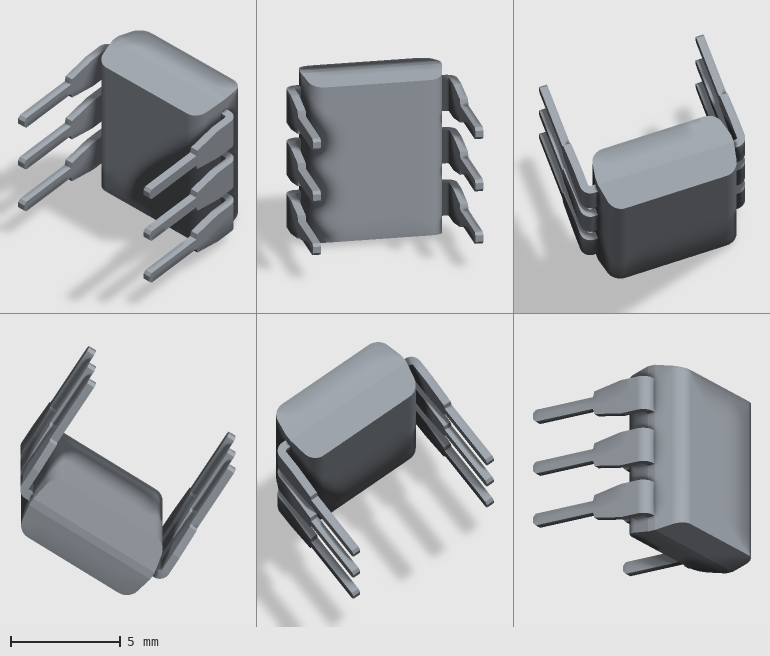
import cadquery as cq
import math

BODY_WIDTH = 6.6
BODY_DEPTH = 3.18
BODY_HEIGHT = 8.08
DRAFT_ANGLE = 11.0
BODY_EDGE_RADIUS = 0.7

LEAD_THICKNESS = 0.38
LEAD_SPAN = 8.0
LEAD_PITCH = 2.54
LEADS_PER_SIDE = 3
INNER_BEND_RADIUS = 0.11

TOTAL_DEPTH = 7.59
WIDE_WIDTH = 1.625
SHOULDER_WIDTH = 1.11
PIN_WIDTH = 0.57
PIN_LENGTH = 3.265
SHOULDER_SLOPE = 0.07
TAPER_LENGTH = 1.45
TIP_CHAMFER = 0.14

BAND_BACK = LEAD_THICKNESS / 2
BODY_BACK = BODY_DEPTH / 2
TIP_Y = BODY_BACK - TOTAL_DEPTH
PIN_START_Y = TIP_Y + PIN_LENGTH
SHOULDER_Y = PIN_START_Y + SHOULDER_SLOPE
TAPER_START_Y = SHOULDER_Y + TAPER_LENGTH
LEAD_OUTER_X = LEAD_SPAN / 2
LEAD_INNER_X = LEAD_OUTER_X - LEAD_THICKNESS


def make_body():
    """Block drafted on all four sides, with its long edges along Z rounded."""
    half_depth = BODY_BACK - BAND_BACK
    inset = half_depth * math.tan(math.radians(DRAFT_ANGLE))
    body = cq.Workplane("XY").box(BODY_WIDTH, LEAD_THICKNESS, BODY_HEIGHT)
    for side in (-1, 1):
        half = (
            cq.Workplane("XZ", origin=(0, side * BAND_BACK, 0))
            .rect(BODY_WIDTH, BODY_HEIGHT)
            .workplane(offset=-side * half_depth)
            .rect(BODY_WIDTH - 2 * inset, BODY_HEIGHT - 2 * inset)
            .loft(ruled=True)
        )
        large_face = half.faces(">Y" if side > 0 else "<Y")
        body = body.union(large_face.edges("|Z").fillet(BODY_EDGE_RADIUS))
    return body


def make_bent_strips():
    """Strip profile seen along Z: across the body, bent down at both ends."""
    leg_length = BAND_BACK - TIP_Y
    outer = (
        cq.Workplane("XY")
        .box(LEAD_SPAN, leg_length, BODY_HEIGHT)
        .edges("|Z and >Y")
        .fillet(INNER_BEND_RADIUS + LEAD_THICKNESS)
    )
    inner = (
        cq.Workplane("XY")
        .box(2 * LEAD_INNER_X, leg_length, BODY_HEIGHT)
        .edges("|Z and >Y")
        .fillet(INNER_BEND_RADIUS)
    )
    strip = outer.cut(inner.translate((0, -LEAD_THICKNESS, 0)))
    return strip.translate((0, (BAND_BACK + TIP_Y) / 2, 0))


def make_lead_outline(center_z):
    """Lead silhouette seen along X, extruded through both rows of leads."""
    edge = [
        (BAND_BACK, WIDE_WIDTH / 2),
        (TAPER_START_Y, WIDE_WIDTH / 2),
        (SHOULDER_Y, SHOULDER_WIDTH / 2),
        (PIN_START_Y, PIN_WIDTH / 2),
        (TIP_Y + TIP_CHAMFER, PIN_WIDTH / 2),
        (TIP_Y, PIN_WIDTH / 2 - TIP_CHAMFER),
    ]
    mirrored_edge = [(y, -z) for y, z in reversed(edge)]
    return (
        cq.Workplane("YZ", origin=(0, 0, center_z))
        .polyline(edge + mirrored_edge)
        .close()
        .extrude(LEAD_OUTER_X, both=True)
    )


result = make_body()
strips = make_bent_strips()
for index in range(LEADS_PER_SIDE):
    lead_z = (index - (LEADS_PER_SIDE - 1) / 2) * LEAD_PITCH
    result = result.union(strips.intersect(make_lead_outline(lead_z)))